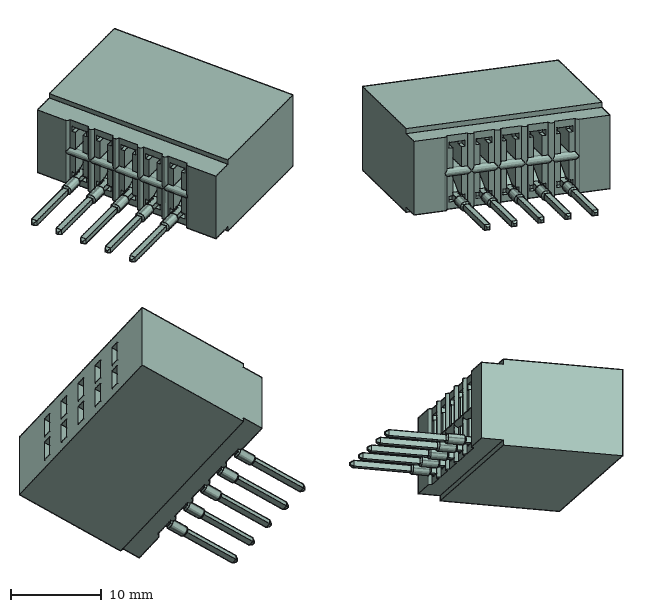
import cadquery as cq
import math


housing_width = 23.1
housing_height = 9.92
housing_length = 16.37
neck_length = 2.55
neck_step = 0.6
neck_height = housing_height - 2 * neck_step

contact_count = 5
recess_width = 15.88
contact_pitch = recess_width / contact_count
row_height = 3.19
contact_x = [(i - (contact_count - 1) / 2) * contact_pitch for i in range(contact_count)]

recess_depth = 0.35
rib_width = 0.75
bar_radius = 0.5

shank_size = 0.67
pin_reach = 9.53
tip_length = 0.35
tip_inset = 0.18
barrel_width = 1.2
barrel_height = 1.11
barrel_corner = 0.55
barrel_start = 0.23
barrel_length = 2.33
barrel_chamfer = 0.2
shoulder_width = 1.81
shoulder_length = 0.4
blade_slope = 32

channel_width = 1.0
channel_outer_z = row_height + shank_size / 2
channel_height = channel_outer_z - bar_radius
shoulder_slot_width = 1.9
shoulder_slot_depth = 1.04
shoulder_slot_end = recess_depth + shoulder_slot_depth


def box(x_size, y_start, y_end, z_low, z_high, x_center=0):
    """A block centred on x_center that spans the given Y and Z ranges."""
    return cq.Workplane("XY").box(x_size, y_end - y_start, z_high - z_low).translate(
        (x_center, (y_start + y_end) / 2, (z_low + z_high) / 2)
    )


def make_housing_blank():
    """The main block with its thinner neck at the front."""
    neck = box(housing_width, 0, neck_length, -neck_height / 2, neck_height / 2)
    main_block = box(
        housing_width, neck_length, housing_length, -housing_height / 2, housing_height / 2
    )
    return main_block.union(neck)


def make_web():
    """The wall between the upper and lower channels, with a round nose that forms the cross bar."""
    nose = cq.Workplane("YZ").center(bar_radius, 0).circle(bar_radius).extrude(recess_width / 2, both=True)
    return nose.union(box(recess_width, bar_radius, housing_length, -bar_radius, bar_radius))


def make_recess():
    """The empty space of the front recess, left between the upright ribs and around the cross bar."""
    space = box(recess_width, 0, recess_depth, -neck_height / 2, neck_height / 2)
    rib = (
        cq.Workplane("XY")
        .moveTo(-rib_width / 2, recess_depth)
        .threePointArc((0, 0), (rib_width / 2, recess_depth))
        .close()
        .extrude(neck_height / 2, both=True)
    )
    for i in range(contact_count + 1):
        space = space.cut(rib.translate((i * contact_pitch - recess_width / 2, 0, 0)))
    return space.cut(make_web())


def make_channels(x):
    """The upper and lower through channels of one contact position, with their shoulder slots."""
    upper = box(channel_width, recess_depth, housing_length, 0, channel_outer_z, x).cut(make_web())
    shoulder_slot = box(
        shoulder_slot_width,
        recess_depth,
        shoulder_slot_end,
        channel_outer_z - shank_size,
        channel_outer_z,
        x,
    )
    upper = upper.union(shoulder_slot)
    return upper, upper.mirror("XY")


def make_housing():
    """The whole housing with its front recess and the channels of every contact position."""
    housing = make_housing_blank().cut(make_recess())
    for x in contact_x:
        for channel in make_channels(x):
            housing = housing.cut(channel)
    return housing


def make_barrel():
    """The rounded collar just outside the housing, chamfered at both ends."""
    return (
        box(
            barrel_width,
            -barrel_start - barrel_length,
            -barrel_start,
            -barrel_height / 2,
            barrel_height / 2,
        )
        .edges("|Y")
        .fillet(barrel_corner)
        .faces("<Y or >Y")
        .chamfer(barrel_chamfer)
    )


def make_pin():
    """One pin along the Y axis: tip, shank, barrel, shoulder and sloping contact blade."""
    half_shank = shank_size / 2
    tip_size = shank_size - 2 * tip_inset
    shank = box(shank_size, tip_length - pin_reach, shoulder_slot_end, -half_shank, half_shank)
    tip = (
        cq.Workplane("XZ", origin=(0, tip_length - pin_reach, 0))
        .rect(shank_size, shank_size)
        .workplane(offset=tip_length)
        .rect(tip_size, tip_size)
        .loft(ruled=True)
    )
    shoulder = box(
        shoulder_width, shoulder_slot_end - shoulder_length, shoulder_slot_end, -half_shank, half_shank
    )
    blade_rise = channel_height - shank_size
    blade_end = shoulder_slot_end + blade_rise / math.tan(math.radians(blade_slope))
    blade = (
        cq.Workplane("YZ")
        .polyline(
            [
                (shoulder_slot_end, -half_shank),
                (blade_end, blade_rise - half_shank),
                (blade_end, blade_rise + half_shank),
                (shoulder_slot_end, half_shank),
            ]
        )
        .close()
        .extrude(channel_width / 2, both=True)
    )
    return shank.union(tip).union(make_barrel()).union(shoulder).union(blade)


housing = make_housing()
pin = make_pin()
pins = [pin.translate((x, 0, -row_height)) for x in contact_x]

result = cq.Compound.makeCompound(
    [housing.solids().val(), *[placed_pin.solids().val() for placed_pin in pins]]
)